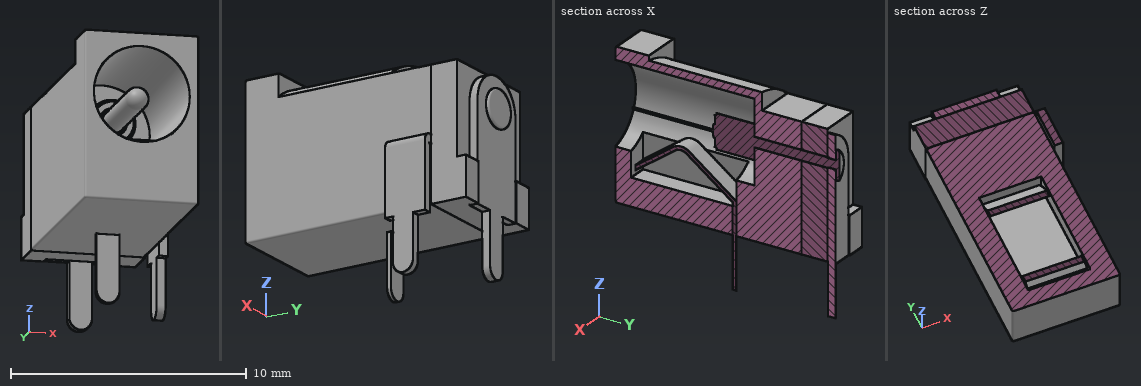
import cadquery as cq
import math


width = 5.0
housing_length = 9.4
flange_height = 7.4
flange_length = 1.7
edge_round = 0.1
shoulder_height = 6.3
barrel_top = 7.2
barrel_end = 7.4
axis_height = 4.7
bore_diameter = 4.2
bore_depth = 7.0

cover_back = 10.7
foot_back = 11.15
foot_height = 1.9

solder_pin_width = 1.0
solder_pin_tip = -3.0
thick_sheet = 0.4
thin_sheet = 0.2

rear_terminal_width = 3.0
rear_terminal_back = cover_back + thick_sheet

side_terminal_front = barrel_end
side_terminal_back = housing_length
side_terminal_inner = 1.0
side_terminal_outer = 3.0
side_terminal_top = 3.15
side_terminal_shoulder = -thick_sheet
side_solder_pin_y = 8.3

spring_width = 2.75
spring_top = 3.53
spring_tip_y = 1.0
spring_ramp_angle = 36.0
spring_bend_y = 3.3
spring_leg_back = 6.1
spring_leg_front = spring_leg_back - thin_sheet
spring_bend_radius = 0.7
spring_pocket_width = 2.85
spring_pocket_front = 0.8
spring_pocket_floor = 1.4

pin_diameter = 1.0
pin_tip_y = 0.4
pin_root_round = 0.1
collar_diameter = 2.0
collar_front = 5.0
collar_round = 0.1
shank_diameter = 1.1
rivet_diameter = 1.8
rivet_height = 0.2


def block(x_min, x_max, y_min, y_max, z_min, z_max):
    """Box given by its limits along each axis."""
    box = cq.Workplane("XY").box(x_max - x_min, y_max - y_min, z_max - z_min, centered=False)
    return box.translate((x_min, y_min, z_min))


def centred_block(size_x, y_min, y_max, z_min, z_max):
    """Box centred on X = 0."""
    return block(-size_x / 2, size_x / 2, y_min, y_max, z_min, z_max)


def solder_pin(thickness, top):
    """Round-tipped solder pin in the XZ plane, centred on X = 0, from Y = 0 to Y = thickness."""
    half = solder_pin_width / 2
    round_start = solder_pin_tip + half
    return (
        cq.Workplane("XZ")
        .moveTo(-half, top)
        .lineTo(-half, round_start)
        .threePointArc((0, solder_pin_tip), (half, round_start))
        .lineTo(half, top)
        .close()
        .extrude(-thickness)
    )


def make_centre_pin():
    """Domed contact pin with a collar at its root and a rivet head behind the rear terminal."""
    pin_r = pin_diameter / 2
    root_r = pin_r + pin_root_round
    collar_r = collar_diameter / 2
    shank_r = shank_diameter / 2
    rivet_r = rivet_diameter / 2
    rivet_round = rivet_height / 2
    rivet_end = rear_terminal_back + rivet_height
    diagonal = math.sqrt(0.5)
    dome_y = pin_tip_y + pin_r
    return (
        cq.Workplane("XY", origin=(0, 0, axis_height))
        .moveTo(0, pin_tip_y)
        .threePointArc((pin_r * diagonal, dome_y - pin_r * diagonal), (pin_r, dome_y))
        .lineTo(pin_r, collar_front - pin_root_round)
        .radiusArc((root_r, collar_front), -pin_root_round)
        .lineTo(collar_r - collar_round, collar_front)
        .radiusArc((collar_r, collar_front + collar_round), collar_round)
        .lineTo(collar_r, bore_depth)
        .lineTo(shank_r, bore_depth)
        .lineTo(shank_r, rear_terminal_back)
        .lineTo(rivet_r - rivet_round, rear_terminal_back)
        .threePointArc((rivet_r, rear_terminal_back + rivet_round), (rivet_r - rivet_round, rivet_end))
        .lineTo(0, rivet_end)
        .close()
        .revolve(360, (0, 0, 0), (0, 1, 0))
    )


def make_rear_terminal():
    """Upright plate with a round top, riveted to the cover by the centre pin."""
    half = rear_terminal_width / 2
    plate = (
        cq.Workplane("XZ", origin=(0, cover_back, 0))
        .moveTo(-half, 0)
        .lineTo(-half, axis_height)
        .threePointArc((0, axis_height + half), (half, axis_height))
        .lineTo(half, 0)
        .close()
        .extrude(-thick_sheet)
    )
    pin = solder_pin(thick_sheet, 0).translate((0, cover_back, 0))
    return plate.union(pin).cut(shank_hole())


def shank_hole():
    """Cylinder that clears the riveted shank of the centre pin."""
    return (
        cq.Workplane("XZ", origin=(0, bore_depth, axis_height))
        .circle(shank_diameter / 2)
        .extrude(bore_depth - rear_terminal_back)
    )


def make_side_terminal():
    """Bent strip that leaves the +X wall and turns down to a shouldered solder pin."""
    leg_inner = side_terminal_outer - thick_sheet
    strip_bottom = side_terminal_top - thick_sheet
    strip = (
        cq.Workplane("XZ", origin=(0, side_terminal_front, 0))
        .moveTo(side_terminal_inner, strip_bottom)
        .lineTo(side_terminal_inner, side_terminal_top)
        .lineTo(leg_inner, side_terminal_top)
        .radiusArc((side_terminal_outer, strip_bottom), thick_sheet)
        .lineTo(side_terminal_outer, side_terminal_shoulder)
        .lineTo(leg_inner, side_terminal_shoulder)
        .lineTo(leg_inner, strip_bottom)
        .close()
        .extrude(side_terminal_front - side_terminal_back)
    )
    pin = (
        solder_pin(thick_sheet, side_terminal_shoulder)
        .rotate((0, 0, 0), (0, 0, 1), -90)
        .translate((leg_inner, side_solder_pin_y, 0))
    )
    return strip.union(pin)


def make_spring():
    """Thin leaf bent to a rounded ridge, with a solder leg at its rear end."""
    angle = math.radians(spring_ramp_angle)
    bend_z = spring_top - spring_bend_radius
    inner_radius = spring_bend_radius - thin_sheet

    def bend_point(radius, side):
        """Where the bend of the given radius runs into the front (-1) or rear (+1) limb."""
        return (spring_bend_y + side * radius * math.sin(angle), bend_z + radius * math.cos(angle))

    def limb_height(radius, side, y):
        """Height at y of the limb face that is tangent to the bend of the given radius."""
        start_y, start_z = bend_point(radius, side)
        return start_z - side * (y - start_y) * math.tan(angle)

    rear_top = limb_height(spring_bend_radius, 1, spring_leg_back)
    leaf = (
        cq.Workplane("YZ", origin=(-spring_width / 2, 0, 0))
        .moveTo(spring_tip_y, limb_height(spring_bend_radius, -1, spring_tip_y))
        .lineTo(*bend_point(spring_bend_radius, -1))
        .threePointArc((spring_bend_y, spring_top), bend_point(spring_bend_radius, 1))
        .lineTo(spring_leg_back, rear_top)
        .lineTo(spring_leg_back, limb_height(inner_radius, 1, spring_leg_back))
        .lineTo(*bend_point(inner_radius, 1))
        .threePointArc((spring_bend_y, spring_top - thin_sheet), bend_point(inner_radius, -1))
        .lineTo(spring_tip_y, limb_height(inner_radius, -1, spring_tip_y))
        .close()
        .extrude(spring_width)
    )
    leg = solder_pin(thin_sheet, rear_top).translate((0, spring_leg_front, 0))
    return leaf.union(leg)


def housing_shell():
    """Outer shape: square front flange, arched barrel and a low flat rear."""
    half = width / 2
    shell = centred_block(width, 0, housing_length, 0, flange_height)
    shell = shell.edges("<Y or |Y").fillet(edge_round)
    above_barrel = (
        cq.Workplane("XZ", origin=(0, flange_length, 0))
        .moveTo(-half, shoulder_height)
        .threePointArc((0, barrel_top), (half, shoulder_height))
        .lineTo(half, flange_height)
        .lineTo(-half, flange_height)
        .close()
        .extrude(flange_length - barrel_end)
    )
    above_rear = centred_block(width, barrel_end, housing_length, shoulder_height, flange_height)
    return shell.cut(above_barrel).cut(above_rear)


def make_housing():
    """Housing with the plug bore, the spring pocket and the seats of the metal parts."""
    bore = (
        cq.Workplane("XZ", origin=(0, 0, axis_height))
        .circle(bore_diameter / 2)
        .extrude(-bore_depth)
    )
    spring_pocket = centred_block(
        spring_pocket_width, spring_pocket_front, spring_leg_back, spring_pocket_floor, axis_height
    )
    spring_leg_hole = centred_block(
        solder_pin_width, spring_leg_front, spring_leg_back, 0, spring_pocket_floor
    )
    side_terminal_slot = block(
        side_terminal_inner,
        width / 2,
        side_terminal_front,
        side_terminal_back,
        side_terminal_top - thick_sheet,
        side_terminal_top,
    )
    body = housing_shell().cut(bore).cut(spring_pocket).cut(spring_leg_hole)
    return body.cut(side_terminal_slot).cut(shank_hole())


def make_cover():
    """Rear cover with a foot that is notched for the rear terminal."""
    plate = centred_block(width, housing_length, cover_back, 0, shoulder_height)
    foot = centred_block(width, cover_back, foot_back, 0, foot_height)
    notch = centred_block(rear_terminal_width, cover_back, foot_back, 0, foot_height)
    return plate.union(foot.cut(notch)).cut(shank_hole())


housing = make_housing()
cover = make_cover()
centre_pin = make_centre_pin()
rear_terminal = make_rear_terminal()
side_terminal = make_side_terminal()
spring = make_spring()

bodies = [housing, cover, centre_pin, rear_terminal, side_terminal, spring]
result = cq.Compound.makeCompound([body.solids().val() for body in bodies])